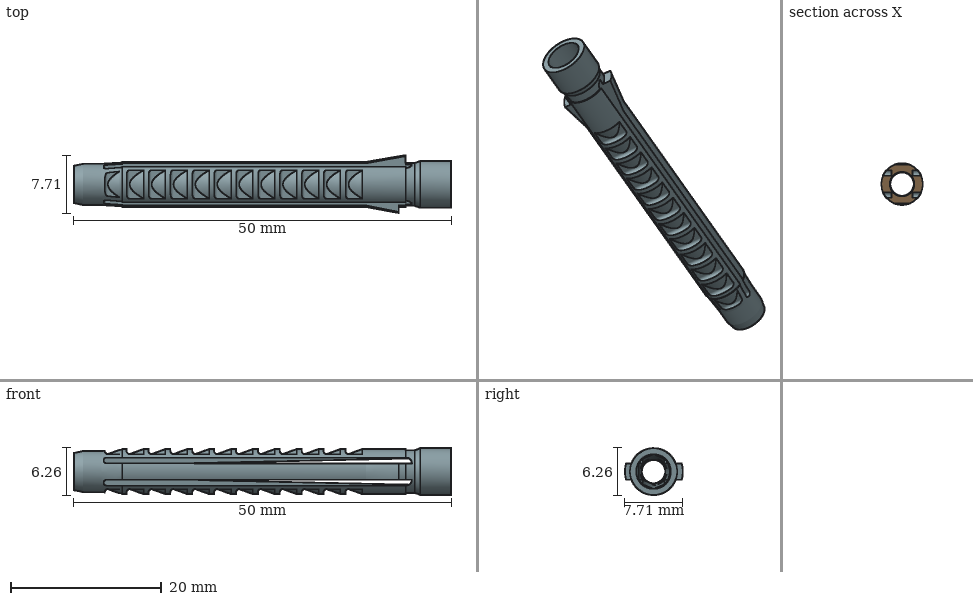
import cadquery as cq
import math

LENGTH = 50.0
TIP_CHAMFER_END = 1.25
TIP_CYLINDER_END = 3.65
SHAFT_START = 6.4
SHAFT_END = 44.0
NECK_END = 45.2
HEAD_START = 45.95

TIP_FACE_RADIUS = 2.48
TIP_RADIUS = 5.5 / 2
TAPER_END_RADIUS = 5.83 / 2
NECK_RADIUS = 5.7 / 2
SHAFT_RADIUS = 6.0 / 2
HEAD_RADIUS = 6.26 / 2

BORE_TIP_RADIUS = 1.54
BORE_HEAD_RADIUS = 2.3

BARB_START = 38.75
BARB_SPAN = 7.71
BARB_RADIUS_BACK = 3.9
BARB_RADIUS_FRONT = BARB_SPAN - BARB_RADIUS_BACK
BARB_END_FRONT = 43.1
BARB_END_BACK = SHAFT_END

SLOT_START = 3.95
SLOT_END = 44.8
SLOT_INNER_Z = 1.1
SLOT_OUTER_Z = 1.85
SLOT_FLOOR_Y = 1.4

NOTCH_COUNT = 12
NOTCH_PITCH = 2.9
NOTCH_LENGTH = 2.23
FIRST_NOTCH_END = SHAFT_START - 0.05
NOTCH_FLOOR_Z = 2.33
NOTCH_CORNER_RADIUS = 0.4

CLEARANCE = 1.0


def revolve_about_x(points):
    """Turn an (x, radius) outline about the X axis."""
    return cq.Workplane("XY").polyline(points).close().revolve(360, (0, 0, 0), (1, 0, 0))


def make_body():
    return revolve_about_x([
        (0, 0),
        (0, TIP_FACE_RADIUS),
        (TIP_CHAMFER_END, TIP_RADIUS),
        (TIP_CYLINDER_END, TIP_RADIUS),
        (SHAFT_START, TAPER_END_RADIUS),
        (SHAFT_START, SHAFT_RADIUS),
        (SHAFT_END, SHAFT_RADIUS),
        (SHAFT_END, NECK_RADIUS),
        (NECK_END, NECK_RADIUS),
        (HEAD_START, HEAD_RADIUS),
        (LENGTH, HEAD_RADIUS),
        (LENGTH, 0),
    ])


def make_bore():
    return revolve_about_x([
        (0, 0),
        (0, BORE_TIP_RADIUS),
        (LENGTH, BORE_HEAD_RADIUS),
        (LENGTH, 0),
    ])


def make_barb(end_x, tip_radius, side):
    """Conical barb as wide as the side strip; side is +1 for +Y and -1 for -Y."""
    cone = revolve_about_x([
        (BARB_START, 0),
        (BARB_START, SHAFT_RADIUS),
        (end_x, tip_radius),
        (end_x, 0),
    ])
    reach = tip_radius + CLEARANCE
    strip = cq.Workplane("XY").box(LENGTH, reach, 2 * SLOT_INNER_Z, centered=(False, False, True))
    if side < 0:
        strip = strip.mirror("XZ")
    return cone.intersect(strip)


def make_slot():
    """Slot above the +Y strip: round at the tip end, one rounded corner at the head end."""
    height = SLOT_OUTER_Z - SLOT_INNER_Z
    tip_round = height / 2
    arc_reach = height * math.sqrt(0.5)
    return (
        cq.Workplane("XZ", origin=(0, SLOT_FLOOR_Y, 0))
        .moveTo(SLOT_START + tip_round, SLOT_INNER_Z)
        .lineTo(SLOT_END, SLOT_INNER_Z)
        .threePointArc(
            (SLOT_END - height + arc_reach, SLOT_INNER_Z + arc_reach),
            (SLOT_END - height, SLOT_OUTER_Z),
        )
        .lineTo(SLOT_START + tip_round, SLOT_OUTER_Z)
        .threePointArc(
            (SLOT_START, SLOT_INNER_Z + tip_round),
            (SLOT_START + tip_round, SLOT_INNER_Z),
        )
        .close()
        .extrude(-(SHAFT_RADIUS + CLEARANCE - SLOT_FLOOR_Y))
    )


def make_notch(end_x):
    """Top notch: steep rounded front wall, flat floor and a conical ramp back up to the shaft."""
    start_x = end_x - NOTCH_LENGTH
    ramp_start = start_x + NOTCH_CORNER_RADIUS
    corner_z = NOTCH_FLOOR_Z + NOTCH_CORNER_RADIUS
    arc_inset = NOTCH_CORNER_RADIUS * (1 - math.sqrt(0.5))
    top_z = SHAFT_RADIUS + CLEARANCE
    pocket = (
        cq.Workplane("XZ")
        .moveTo(start_x, top_z)
        .lineTo(start_x, corner_z)
        .threePointArc((start_x + arc_inset, NOTCH_FLOOR_Z + arc_inset), (ramp_start, NOTCH_FLOOR_Z))
        .lineTo(end_x, NOTCH_FLOOR_Z)
        .lineTo(end_x, top_z)
        .close()
        .extrude(SHAFT_RADIUS, both=True)
    )
    ramp = revolve_about_x([
        (ramp_start, 0),
        (ramp_start, NOTCH_FLOOR_Z),
        (end_x, SHAFT_RADIUS),
        (end_x, 0),
    ])
    return pocket.cut(ramp)


result = make_body()
result = result.union(make_barb(BARB_END_BACK, BARB_RADIUS_BACK, 1))
result = result.union(make_barb(BARB_END_FRONT, BARB_RADIUS_FRONT, -1))

upper_slot = make_slot()
for slot in (upper_slot, upper_slot.mirror("XY")):
    result = result.cut(slot).cut(slot.mirror("XZ"))

for index in range(NOTCH_COUNT):
    notch = make_notch(FIRST_NOTCH_END + index * NOTCH_PITCH)
    result = result.cut(notch).cut(notch.mirror("XY"))

result = result.cut(make_bore())